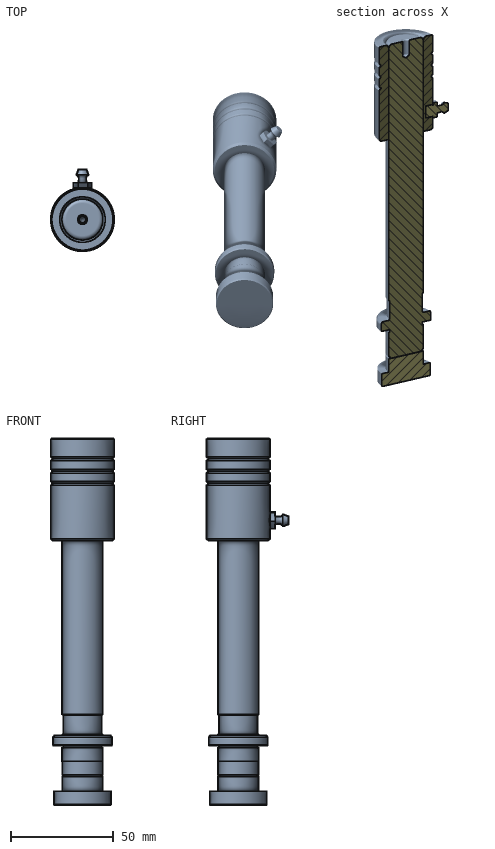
import cadquery as cq
import math

total_height = 179.0

cap_height = 14.0
cap_flange_diameter = 28.0
cap_flange_thickness = 7.0
cap_flange_chamfer = 0.5
cap_neck_diameter = 19.9

pillar_diameter = 20.0
pilot_diameter = 19.9
pilot_length = 7.5
pilot_chamfer = 1.0
seat_top_z = 28.0
undercut_diameter = 19.0
collar_diameter = 29.0
collar_bottom_z = 29.0
collar_top_z = 34.2
collar_bevel_width = 0.7
collar_bevel_height = 1.0
collar_edge_width = 0.1
collar_edge_height = 0.5
collar_bottom_chamfer = 0.5
collar_base_flare = 0.6
waist_diameter = 19.0
shaft_start_z = 44.0
pillar_top_round = 2.0

centre_mouth_diameter = 4.6
centre_drill_diameter = 3.3
centre_drill_depth = 8.0
centre_tip_angle = 118.0

bush_diameter = 31.0
bush_length = 50.0
bush_bore_diameter = pillar_diameter
bush_top_chamfer = 0.6
bush_bottom_chamfer = 1.0
bore_mouth_chamfer = 1.1
groove_count = 3
groove_pitch = 6.0
groove_first_depth = 9.0
groove_width = 2.0
groove_depth = 1.0

nipple_depth = 40.0
nipple_tip_y = 24.5
nipple_tip_diameter = 4.0
nipple_head_y = 21.8
nipple_head_diameter = 6.0
nipple_throat_y = 19.7
nipple_throat_diameter = 3.8
nipple_stem_diameter = 4.0
hex_across_flats = 8.0
hex_height = 2.5
hex_turn = 5.0
thread_diameter = 6.0
thread_length = 4.0

bush_radius = bush_diameter / 2
bush_bottom_z = total_height - bush_length
nipple_z = total_height - nipple_depth


def revolve_about_z(profile):
    """Turn a closed XZ half-profile around the Z axis."""
    return profile.close().revolve(360, (0, 0, 0), (0, 1, 0))


def cylinder_along_y(diameter, start_y, end_y):
    """Cylinder on the nipple axis between two Y positions."""
    plane = cq.Plane(origin=(0, start_y, nipple_z), xDir=(1, 0, 0), normal=(0, 1, 0))
    return cq.Workplane(plane).circle(diameter / 2).extrude(end_y - start_y)


def make_cap():
    flange_r = cap_flange_diameter / 2
    neck_r = cap_neck_diameter / 2
    return revolve_about_z(
        cq.Workplane("XZ")
        .moveTo(0, 0)
        .lineTo(flange_r - cap_flange_chamfer, 0)
        .lineTo(flange_r, cap_flange_chamfer)
        .lineTo(flange_r, cap_flange_thickness)
        .lineTo(neck_r, cap_flange_thickness)
        .lineTo(neck_r, cap_height)
        .lineTo(0, cap_height)
    )


def make_pillar():
    pillar_r = pillar_diameter / 2
    pilot_r = pilot_diameter / 2
    undercut_r = undercut_diameter / 2
    collar_r = collar_diameter / 2
    waist_r = waist_diameter / 2
    pilot_top_z = cap_height + pilot_length
    bevel_bottom_z = collar_top_z - collar_bevel_height
    shaft_step = pillar_r - waist_r
    corner_inset = 1 - math.sqrt(0.5)

    pillar = revolve_about_z(
        cq.Workplane("XZ")
        .moveTo(0, cap_height)
        .lineTo(pilot_r - pilot_chamfer, cap_height)
        .lineTo(pilot_r, cap_height + pilot_chamfer)
        .lineTo(pilot_r, pilot_top_z)
        .lineTo(pillar_r, pilot_top_z)
        .lineTo(pillar_r, seat_top_z)
        .lineTo(undercut_r, seat_top_z)
        .lineTo(undercut_r, collar_bottom_z)
        .lineTo(collar_r - collar_bottom_chamfer, collar_bottom_z)
        .lineTo(collar_r, collar_bottom_z + collar_bottom_chamfer)
        .lineTo(collar_r, bevel_bottom_z - collar_edge_height)
        .lineTo(collar_r - collar_edge_width, bevel_bottom_z)
        .lineTo(collar_r - collar_edge_width - collar_bevel_width, collar_top_z)
        .lineTo(waist_r + collar_base_flare, collar_top_z)
        .lineTo(waist_r, collar_top_z + collar_base_flare)
        .lineTo(waist_r, shaft_start_z)
        .lineTo(pillar_r, shaft_start_z + shaft_step)
        .lineTo(pillar_r, total_height - pillar_top_round)
        .threePointArc(
            (pillar_r - corner_inset * pillar_top_round, total_height - corner_inset * pillar_top_round),
            (pillar_r - pillar_top_round, total_height),
        )
        .lineTo(0, total_height)
    )
    return pillar.cut(make_centre_hole())


def make_centre_hole():
    """Chamfered, drill-pointed cavity on the pillar axis."""
    mouth_r = centre_mouth_diameter / 2
    drill_r = centre_drill_diameter / 2
    wall_bottom_z = total_height - centre_drill_depth
    tip_depth = drill_r / math.tan(math.radians(centre_tip_angle / 2))
    return revolve_about_z(
        cq.Workplane("XZ")
        .moveTo(0, total_height)
        .lineTo(mouth_r, total_height)
        .lineTo(drill_r, total_height - (mouth_r - drill_r))
        .lineTo(drill_r, wall_bottom_z)
        .lineTo(0, wall_bottom_z - tip_depth)
    )


def make_groove(top_z):
    """Ring cutter for one V-shaped groove around the bush."""
    return revolve_about_z(
        cq.Workplane("XZ")
        .moveTo(bush_radius, top_z)
        .lineTo(bush_radius - groove_depth, top_z - groove_width / 2)
        .lineTo(bush_radius, top_z - groove_width)
    )


def make_bush():
    bore_r = bush_bore_diameter / 2
    bush = revolve_about_z(
        cq.Workplane("XZ")
        .moveTo(bore_r, bush_bottom_z)
        .lineTo(bush_radius - bush_bottom_chamfer, bush_bottom_z)
        .lineTo(bush_radius, bush_bottom_z + bush_bottom_chamfer)
        .lineTo(bush_radius, total_height - bush_top_chamfer)
        .lineTo(bush_radius - bush_top_chamfer, total_height)
        .lineTo(bore_r + bore_mouth_chamfer, total_height)
        .lineTo(bore_r, total_height - bore_mouth_chamfer)
    )
    for index in range(groove_count):
        bush = bush.cut(make_groove(total_height - groove_first_depth - index * groove_pitch))
    thread_hole = cylinder_along_y(thread_diameter, bush_radius - thread_length, bush_radius)
    return bush.cut(thread_hole)


def make_nipple():
    hex_top_y = bush_radius + hex_height
    throat_r = nipple_throat_diameter / 2
    head_r = nipple_head_diameter / 2
    sweep = math.sqrt(0.5)
    sweep_middle = (
        head_r - sweep * (head_r - throat_r),
        nipple_head_y - (1 - sweep) * (nipple_head_y - nipple_throat_y),
    )
    stem = (
        cq.Workplane("XY")
        .moveTo(0, hex_top_y)
        .lineTo(nipple_stem_diameter / 2, hex_top_y)
        .lineTo(throat_r, nipple_throat_y)
        .threePointArc(sweep_middle, (head_r, nipple_head_y))
        .lineTo(nipple_tip_diameter / 2, nipple_tip_y)
        .lineTo(0, nipple_tip_y)
        .close()
        .revolve(360, (0, 0, 0), (0, 1, 0))
        .translate((0, 0, nipple_z))
    )
    hex_plane = cq.Plane(origin=(0, bush_radius, nipple_z), xDir=(1, 0, 0), normal=(0, 1, 0))
    across_corners = hex_across_flats / math.cos(math.radians(30))
    hexagon = (
        cq.Workplane(hex_plane)
        .transformed(rotate=(0, 0, hex_turn))
        .polygon(6, across_corners)
        .extrude(hex_height)
    )
    thread = cylinder_along_y(thread_diameter, bush_radius - thread_length, bush_radius)
    return hexagon.union(stem).union(thread)


cap = make_cap()
pillar = make_pillar()
bush = make_bush()
nipple = make_nipple()

result = cq.Compound.makeCompound([cap.val(), pillar.val(), bush.val(), nipple.val()])